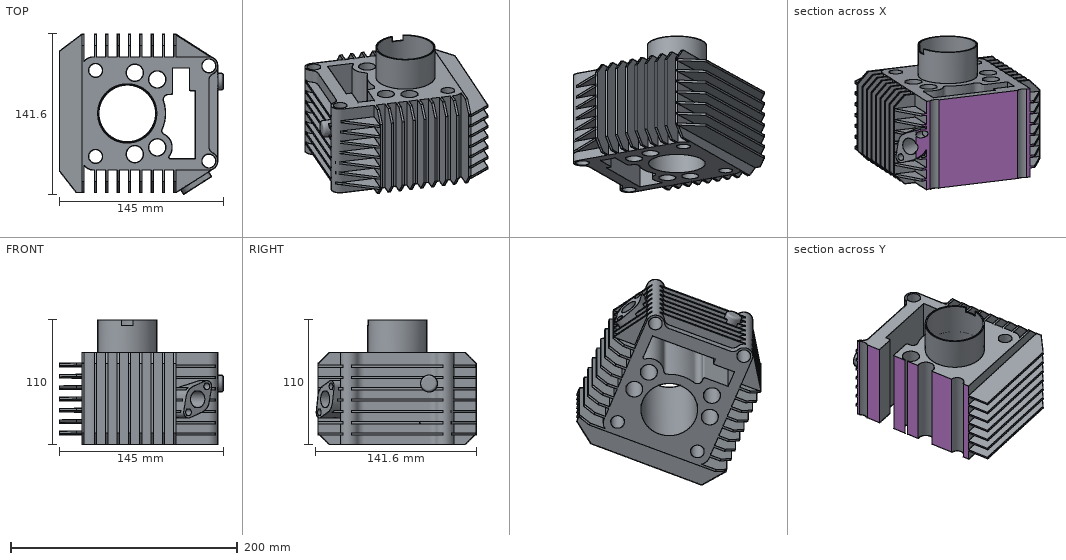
import cadquery as cq
import math


block_left = -40.0
block_right = 80.0
block_half_width = 50.0
deck_height = 81.5
left_corner_radius = 10.0
right_corner_radius = 8.0

bore_diameter = 50.0
sleeve_diameter = 52.3
sleeve_top = 110.0
notch_width = 10.0
notch_depth = 5.0

stud_hole_diameter = 12.0
left_stud = (-28.0, 38.0)
right_stud = (block_right - right_corner_radius, block_half_width - right_corner_radius)
passage_diameter = 15.0
inner_passage = (6.7, 36.0)
outer_passage = (26.5, 30.0)
vertical_holes = [
    (left_stud, stud_hole_diameter),
    (right_stud, stud_hole_diameter),
    (inner_passage, passage_diameter),
    (outer_passage, passage_diameter),
]

fin_thickness = 2.0
fin_pitch = 10.0
fin_half_span = 70.0
plate_fin_chamfer = 10.0
plate_fin_count = 8
level_fin_count = 7
first_plate_fin = -29.0
last_plate_fin_right = first_plate_fin + (plate_fin_count - 1) * fin_pitch + fin_thickness
left_fin_tip = -60.0
left_fin_front_bend = -45.0
left_fin_tip_front = -50.8
left_fin_tip_rear = 55.0
left_fin_bottom = 9.3
left_fin_tilt = 0.65
level_fin_bottom = 8.3
wedge_overrun = 1.7
strip_half_width = 40.6
rear_wedge_step = 0.12

tunnel_right = 60.0
tunnel_half_width = 40.0
tunnel_neck_left = 40.0
tunnel_neck_right = 55.0
tunnel_neck_bottom = 16.7
tunnel_shoulder = 19.9
bore_wall_radius = 34.0
passage_wall_radius = 13.2
tunnel_roundings = [
    ((35.1, -tunnel_half_width), 1.3),
    ((29.3, -17.1), 3.0),
    ((29.6, tunnel_neck_bottom), 4.5),
    ((tunnel_neck_left, tunnel_neck_bottom), 1.3),
    ((tunnel_neck_right, tunnel_shoulder), 1.3),
]

hollow_wall = 72.0
hollow_corner_radius = 6.8

plug_diameter = 15.0
plug_end = 85.0
plug_y = 28.1
plug_z = 54.0
plug_rounding = 2.0

port_face_point = (62.2, -63.7, 40.0)
port_bore_diameter = 15.0
port_bore_depth = 34.1
port_centre_radius = 12.3
ear_radius = 5.1
ear_distance = 15.0
ear_angle = 50.0
screw_hole_diameter = 6.0
screw_hole_depth = 10.0
flange_depth = 39.2
block_overlap = 1.5


def prism(outline, bottom=0.0, height=deck_height):
    """Straight prism on a closed XY polygon."""
    return cq.Workplane("XY").workplane(offset=bottom).polyline(outline).close().extrude(height)


def tangent_point(centre, radius, outside):
    """Touching point, on the greater-X side, of a tangent from an outside point to a circle."""
    dx = outside[0] - centre[0]
    dy = outside[1] - centre[1]
    angle = math.atan2(dy, dx) - math.acos(radius / math.hypot(dx, dy))
    return (centre[0] + radius * math.cos(angle), centre[1] + radius * math.sin(angle))


wedge_corner = (last_plate_fin_right, fin_half_span)
wedge_tip = tangent_point(right_stud, right_corner_radius, wedge_corner)
wedge_slope = math.atan2(wedge_corner[1] - wedge_tip[1], wedge_tip[0] - wedge_corner[0])
wedge_end = (
    wedge_tip[0] + wedge_overrun * math.cos(wedge_slope),
    wedge_tip[1] - wedge_overrun * math.sin(wedge_slope),
)


def make_block():
    """Block whose right side is hollowed between round bosses about the two studs."""
    stud_x, stud_y = right_stud
    hollow_x = hollow_wall + hollow_corner_radius
    reach = right_corner_radius + hollow_corner_radius
    drop = math.sqrt(reach**2 - (hollow_x - stud_x) ** 2)
    touch_x = stud_x + (hollow_x - stud_x) * right_corner_radius / reach
    touch_y = stud_y - drop * right_corner_radius / reach
    hollow_y = stud_y - drop
    halfway = (math.pi + math.atan2(drop, stud_x - hollow_x)) / 2
    bulge_x = hollow_x + hollow_corner_radius * math.cos(halfway)
    bulge_y = hollow_y + hollow_corner_radius * math.sin(halfway)
    block = (
        cq.Workplane("XY")
        .moveTo(block_left, -block_half_width)
        .lineTo(stud_x, -block_half_width)
        .threePointArc((block_right, -stud_y), (touch_x, -touch_y))
        .threePointArc((bulge_x, -bulge_y), (hollow_wall, -hollow_y))
        .lineTo(hollow_wall, hollow_y)
        .threePointArc((bulge_x, bulge_y), (touch_x, touch_y))
        .threePointArc((block_right, stud_y), (stud_x, block_half_width))
        .lineTo(block_left, block_half_width)
        .close()
        .extrude(deck_height)
    )
    return block.edges("|Z and <X").fillet(left_corner_radius)


def make_plate_fin(left):
    """Upright fin across the block with its four outer corners cut off."""
    fin = (
        cq.Workplane("XY")
        .box(fin_thickness, 2 * fin_half_span, deck_height, centered=(False, True, False))
        .edges("|X")
        .chamfer(plate_fin_chamfer)
    )
    return fin.translate((left, 0, 0))


def make_left_fin(bottom):
    """Slightly tilted fin standing out from the left plate."""
    root = block_left + fin_thickness / 2
    outline = [
        (root, -fin_half_span),
        (left_fin_front_bend, -fin_half_span),
        (left_fin_tip, left_fin_tip_front),
        (left_fin_tip, left_fin_tip_rear),
        (block_left, fin_half_span),
        (root, fin_half_span),
    ]
    fin = prism(outline, height=fin_thickness)
    return fin.rotate((0, 0, 0), (1, 0, 0), -left_fin_tilt).translate((0, 0, bottom))


def make_right_fin(bottom, rear_setback):
    """Level fin: a wedge on each side of the block and a strip filling the hollow."""
    inner = block_half_width - block_overlap
    wedge = prism(
        [(last_plate_fin_right, inner), wedge_corner, wedge_end, (right_stud[0], inner)],
        bottom,
        fin_thickness,
    )
    rear_wedge = wedge.translate((0, -rear_setback, 0))
    strip = (
        cq.Workplane("XY", origin=(0, 0, bottom))
        .box(block_right - tunnel_right, 2 * strip_half_width, fin_thickness, centered=(False, True, False))
        .translate((tunnel_right, 0, 0))
    )
    return wedge.mirror("XZ").union(rear_wedge).union(strip)


def make_port_plane():
    """Plane of the port face: local X runs along the face, local Y is up."""
    along = (math.cos(wedge_slope), math.sin(wedge_slope), 0)
    outward = (math.sin(wedge_slope), -math.cos(wedge_slope), 0)
    return cq.Plane(origin=port_face_point, xDir=along, normal=outward)


def make_flange(plane, ears):
    """Rounded diamond flange running back to the side of the block."""
    lean = math.acos((port_centre_radius - ear_radius) / ear_distance)
    axis = math.radians(ear_angle)

    def on_circle(centre, radius, angle):
        return (centre[0] + radius * math.cos(angle), centre[1] + radius * math.sin(angle))

    middle = (0, 0)
    opposite = axis + math.pi
    flange = (
        cq.Workplane(plane)
        .moveTo(*on_circle(middle, port_centre_radius, axis - lean))
        .lineTo(*on_circle(ears[0], ear_radius, axis - lean))
        .threePointArc(
            on_circle(ears[0], ear_radius, axis),
            on_circle(ears[0], ear_radius, axis + lean),
        )
        .lineTo(*on_circle(middle, port_centre_radius, axis + lean))
        .threePointArc(
            on_circle(middle, port_centre_radius, axis + math.pi / 2),
            on_circle(middle, port_centre_radius, opposite - lean),
        )
        .lineTo(*on_circle(ears[1], ear_radius, opposite - lean))
        .threePointArc(
            on_circle(ears[1], ear_radius, opposite),
            on_circle(ears[1], ear_radius, opposite + lean),
        )
        .lineTo(*on_circle(middle, port_centre_radius, opposite + lean))
        .threePointArc(
            on_circle(middle, port_centre_radius, axis - math.pi / 2),
            on_circle(middle, port_centre_radius, axis - lean),
        )
        .close()
        .extrude(-flange_depth)
    )
    outside_block = prism(
        [
            (last_plate_fin_right - fin_thickness, -2 * block_half_width),
            (last_plate_fin_right - fin_thickness, block_overlap - block_half_width),
            (block_right, block_overlap - block_half_width),
            (block_right, -2 * block_half_width),
        ]
    )
    return flange.intersect(outside_block)


def make_tunnel():
    """Chain tunnel: stepped slot that keeps a round wall about the bore and one passage."""
    slot = prism(
        [
            (sleeve_diameter / 2, -tunnel_half_width),
            (tunnel_right, -tunnel_half_width),
            (tunnel_right, tunnel_shoulder),
            (tunnel_neck_right, tunnel_shoulder),
            (tunnel_neck_right, tunnel_half_width),
            (tunnel_neck_left, tunnel_half_width),
            (tunnel_neck_left, tunnel_neck_bottom),
            (sleeve_diameter / 2, tunnel_neck_bottom),
        ]
    )
    bore_wall = cq.Workplane("XY").circle(bore_wall_radius).extrude(deck_height)
    passage_wall = (
        cq.Workplane("XY")
        .center(outer_passage[0], -outer_passage[1])
        .circle(passage_wall_radius)
        .extrude(deck_height)
    )
    tunnel = slot.cut(bore_wall).cut(passage_wall)
    for corner, radius in tunnel_roundings:
        tunnel = tunnel.edges(cq.NearestToPointSelector((*corner, deck_height / 2))).fillet(radius)
    return tunnel


def make_through_hole(centre, diameter):
    return cq.Workplane("XY").center(*centre).circle(diameter / 2).extrude(deck_height)


body = make_block()
body = body.union(make_plate_fin(block_left))
for index in range(plate_fin_count):
    body = body.union(make_plate_fin(first_plate_fin + index * fin_pitch))
for index in range(level_fin_count):
    body = body.union(make_left_fin(left_fin_bottom + index * fin_pitch))
    body = body.union(make_right_fin(level_fin_bottom + index * fin_pitch, index * rear_wedge_step))

sleeve = cq.Workplane("XY").circle(sleeve_diameter / 2).extrude(sleeve_top)
body = body.union(sleeve)

plug = (
    cq.Workplane("YZ", origin=(tunnel_right + block_overlap, plug_y, plug_z))
    .circle(plug_diameter / 2)
    .extrude(plug_end - tunnel_right - block_overlap)
    .faces(">X")
    .edges()
    .fillet(plug_rounding)
)
body = body.union(plug)

port_plane = make_port_plane()
ear_offset = (
    ear_distance * math.cos(math.radians(ear_angle)),
    ear_distance * math.sin(math.radians(ear_angle)),
)
ear_centres = [ear_offset, (-ear_offset[0], -ear_offset[1])]
body = body.union(make_flange(port_plane, ear_centres))
body = body.cut(cq.Workplane(port_plane).circle(port_bore_diameter / 2).extrude(-port_bore_depth))
body = body.cut(
    cq.Workplane(port_plane)
    .pushPoints(ear_centres)
    .circle(screw_hole_diameter / 2)
    .extrude(-screw_hole_depth)
)

body = body.cut(cq.Workplane("XY").circle(bore_diameter / 2).extrude(sleeve_top))
body = body.cut(make_tunnel())
for side in (1, -1):
    for centre, diameter in vertical_holes:
        body = body.cut(make_through_hole((centre[0], side * centre[1]), diameter))

notch = (
    cq.Workplane("XY")
    .box(notch_width, sleeve_diameter, notch_depth, centered=(True, False, False))
    .translate((0, -sleeve_diameter, sleeve_top - notch_depth))
)
result = body.cut(notch)